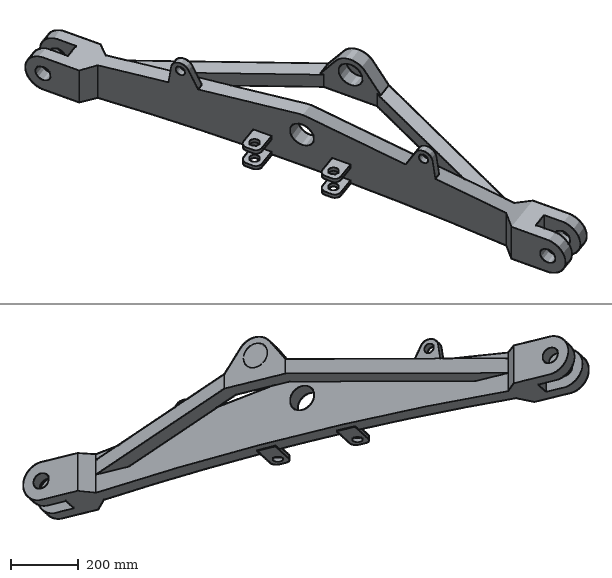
import cadquery as cq
import math


BEAM_THICK = 50.0
BEAM_APEX_Z = 167.0
BEAM_CROWN_Z = -35.0
RIDGE_RADIUS = 100.0
BORE_DIA = 80.0
BORE_Z = 87.0

PART_LENGTH = 1810.0
CLEVIS_HEIGHT = 127.0
CLEVIS_WIDTH = 132.0
CLEVIS_ARC_X = 849.0
PIN_HOLE_DIA = 50.0
PIN_HOLE_X = 845.0
SLOT_END_X = 784.0
SHOULDER_X = 724.0
FLARE_LENGTH = 40.0

STRUT_THICK = 50.0
STRUT_HEIGHT = 49.0
STRUT_FOOT_X = 686.0
HUB_BACK_Y = 351.0
HUB_HALF_WIDTH = 101.0
HUB_RADIUS = 60.0
HUB_FLOOR = 4.0

LUG_THICK = 24.0
LUG_X = 407.0
LUG_HOLE_Z = 165.0
LUG_RADIUS = 30.0
LUG_OUTER_FOOT_X = 447.0
LUG_INNER_FOOT_X = 348.0
LUG_EMBED = 18.0

TAB_X = 132.0
TAB_WIDTH = 62.0
TAB_REACH = 80.0
TAB_CORNER_RADIUS = 20.0
TAB_HOLE_Y = -49.0
TAB_THICK = 13.5
TAB_GAP = 49.0

SMALL_HOLE_DIA = 30.0

half_length = PART_LENGTH / 2
half_height = CLEVIS_HEIGHT / 2
beam_mid_y = BEAM_THICK / 2
hub_front_y = HUB_BACK_Y - STRUT_THICK


def along_y(front_y):
    """XZ workplane at front_y whose extrusions run toward +Y."""
    return cq.Workplane(cq.Plane(origin=(0, front_y, 0), xDir=(1, 0, 0), normal=(0, -1, 0)))


def both_sides(body):
    """The body together with its mirror image across X = 0."""
    return body.union(body.mirror("YZ"))


def y_cylinder(x, z, diameter, front_y, length):
    """Cylinder running from front_y toward +Y."""
    return along_y(front_y).center(x, z).circle(diameter / 2).extrude(-length)


def tangent_point(center, radius, outside, side):
    """Point where a line from outside touches a circle; side is +1 (counterclockwise) or -1."""
    dx = outside[0] - center[0]
    dz = outside[1] - center[1]
    angle = math.atan2(dz, dx) + side * math.acos(radius / math.hypot(dx, dz))
    return (center[0] + radius * math.cos(angle), center[1] + radius * math.sin(angle))


def beam_top_z(x):
    return BEAM_APEX_Z - (BEAM_APEX_Z - half_height) * abs(x) / SHOULDER_X


def beam():
    body = (
        along_y(beam_mid_y - CLEVIS_WIDTH / 2)
        .moveTo(-SHOULDER_X, half_height)
        .lineTo(0, BEAM_APEX_Z)
        .lineTo(SHOULDER_X, half_height)
        .lineTo(SHOULDER_X, -half_height)
        .threePointArc((0, BEAM_CROWN_Z), (-SHOULDER_X, -half_height))
        .close()
        .extrude(-CLEVIS_WIDTH)
    )
    body = body.edges("|Y").edges(">Z").fillet(RIDGE_RADIUS)

    inner = BEAM_THICK / 2
    outer = CLEVIS_WIDTH / 2
    right_back_edge = [(0, inner), (SHOULDER_X - FLARE_LENGTH, inner), (SHOULDER_X, outer)]
    right_front_edge = [(x, -y) for x, y in reversed(right_back_edge)]
    plan = (
        cq.Workplane("XY", origin=(0, beam_mid_y, -half_height))
        .polyline(right_back_edge + right_front_edge)
        .close()
        .extrude(half_height + BEAM_APEX_Z)
    )
    return body.intersect(both_sides(plan))


def clevis():
    front_y = beam_mid_y - CLEVIS_WIDTH / 2
    block = (
        along_y(front_y)
        .moveTo(SHOULDER_X, half_height)
        .lineTo(CLEVIS_ARC_X, half_height)
        .threePointArc((half_length, 0), (CLEVIS_ARC_X, -half_height))
        .lineTo(SHOULDER_X, -half_height)
        .close()
        .extrude(-CLEVIS_WIDTH)
    )
    slot_length = half_length - SLOT_END_X
    slot = cq.Workplane("XY", origin=(SLOT_END_X, beam_mid_y, 0)).box(
        slot_length, BEAM_THICK, CLEVIS_HEIGHT, centered=(False, True, True)
    )
    pin_hole = y_cylinder(PIN_HOLE_X, 0, PIN_HOLE_DIA, front_y, CLEVIS_WIDTH)
    return block.cut(slot).cut(pin_hole)


def strut():
    run = STRUT_FOOT_X - HUB_HALF_WIDTH
    rise = HUB_BACK_Y - BEAM_THICK
    shift_x = STRUT_THICK * math.hypot(run, rise) / rise
    inner_hub_x = STRUT_FOOT_X - shift_x - run * (hub_front_y - BEAM_THICK) / rise
    outline = [
        (STRUT_FOOT_X, BEAM_THICK),
        (HUB_HALF_WIDTH, HUB_BACK_Y),
        (0, HUB_BACK_Y),
        (0, hub_front_y),
        (inner_hub_x, hub_front_y),
        (STRUT_FOOT_X - shift_x, BEAM_THICK),
    ]
    return cq.Workplane("XY").polyline(outline).close().extrude(STRUT_HEIGHT)


def hub():
    corner = (HUB_HALF_WIDTH, STRUT_HEIGHT)
    touch = tangent_point((0, BORE_Z), HUB_RADIUS, corner, 1)
    return (
        along_y(hub_front_y)
        .moveTo(HUB_HALF_WIDTH, 0)
        .lineTo(*corner)
        .lineTo(*touch)
        .threePointArc((0, BORE_Z + HUB_RADIUS), (-touch[0], touch[1]))
        .lineTo(-HUB_HALF_WIDTH, STRUT_HEIGHT)
        .lineTo(-HUB_HALF_WIDTH, 0)
        .close()
        .extrude(-STRUT_THICK)
    )


def lug():
    center = (LUG_X, LUG_HOLE_Z)
    inner_foot = (LUG_INNER_FOOT_X, beam_top_z(LUG_INNER_FOOT_X))
    outer_foot = (LUG_OUTER_FOOT_X, beam_top_z(LUG_OUTER_FOOT_X))
    plate = (
        along_y(0)
        .moveTo(*outer_foot)
        .lineTo(*tangent_point(center, LUG_RADIUS, outer_foot, 1))
        .threePointArc(
            (LUG_X, LUG_HOLE_Z + LUG_RADIUS),
            tangent_point(center, LUG_RADIUS, inner_foot, -1),
        )
        .lineTo(*inner_foot)
        .lineTo(LUG_INNER_FOOT_X, outer_foot[1] - LUG_EMBED)
        .lineTo(LUG_OUTER_FOOT_X, outer_foot[1] - LUG_EMBED)
        .close()
        .extrude(-LUG_THICK)
    )
    return plate.cut(y_cylinder(LUG_X, LUG_HOLE_Z, SMALL_HOLE_DIA, 0, LUG_THICK))


def tab(bottom_z):
    plate = (
        cq.Workplane("XY", origin=(TAB_X, -TAB_REACH, bottom_z))
        .box(TAB_WIDTH, TAB_REACH + beam_mid_y, TAB_THICK, centered=(True, False, False))
        .edges("|Z and <Y")
        .fillet(TAB_CORNER_RADIUS)
    )
    hole = (
        cq.Workplane("XY", origin=(TAB_X, TAB_HOLE_Y, bottom_z))
        .circle(SMALL_HOLE_DIA / 2)
        .extrude(TAB_THICK)
    )
    return plate.cut(hole)


result = beam()
result = result.union(both_sides(clevis()))
result = result.union(both_sides(strut()))
result = result.union(hub())
result = result.union(both_sides(lug()))
for tab_bottom_z in (TAB_GAP / 2, -TAB_GAP / 2 - TAB_THICK):
    result = result.union(both_sides(tab(tab_bottom_z)))

bore = y_cylinder(0, BORE_Z, BORE_DIA, 0, HUB_BACK_Y - HUB_FLOOR)
result = result.cut(bore)